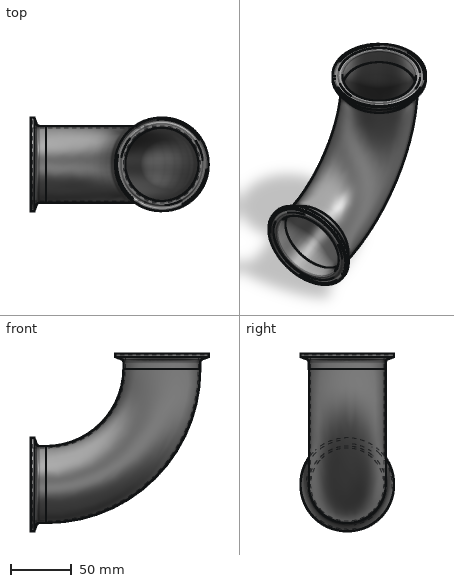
import cadquery as cq
import math

OVERALL_SIZE = 146.6
FLANGE_RADIUS = 77.3 / 2
TUBE_RADIUS = 63.5 / 2
WALL = 1.6
BORE_RADIUS = TUBE_RADIUS - WALL

FERRULE_LENGTH = 12.8
RIM_THICKNESS = 3.0
BACK_SLOPE = math.radians(20)
NECK_FILLET = 2.2
MOUTH_ROUND = 1.0

GROOVE_CENTRE_RADIUS = 35.3
GROOVE_WIDTH = 3.2
GROOVE_DEPTH = 1.3
GROOVE_LIP_ROUND = 0.5

CENTRE_TO_FACE = OVERALL_SIZE - FLANGE_RADIUS
BEND_RADIUS = CENTRE_TO_FACE - FERRULE_LENGTH


def make_ferrule():
    """Ferrule around Z: sealing face at Z = 0, neck pointing to -Z."""
    cone_drop = (FLANGE_RADIUS - TUBE_RADIUS) * math.tan(BACK_SLOPE)
    cone_end = -RIM_THICKNESS - cone_drop
    blank = (
        cq.Workplane("XZ")
        .moveTo(BORE_RADIUS, 0)
        .lineTo(FLANGE_RADIUS, 0)
        .lineTo(FLANGE_RADIUS, -RIM_THICKNESS)
        .lineTo(TUBE_RADIUS, cone_end)
        .lineTo(TUBE_RADIUS, -FERRULE_LENGTH)
        .lineTo(BORE_RADIUS, -FERRULE_LENGTH)
        .close()
        .revolve(360, (0, 0, 0), (0, 1, 0))
    )
    neck_corner = cq.selectors.BoxSelector(
        (-FLANGE_RADIUS, -FLANGE_RADIUS, cone_end - cone_drop / 2),
        (FLANGE_RADIUS, FLANGE_RADIUS, cone_end + cone_drop / 2),
    )
    blank = blank.edges(neck_corner).fillet(NECK_FILLET)
    blank = blank.faces(">Z").edges(cq.selectors.RadiusNthSelector(0)).fillet(MOUTH_ROUND)

    groove = (
        cq.Workplane("XZ")
        .moveTo(GROOVE_CENTRE_RADIUS - GROOVE_WIDTH / 2, 0)
        .threePointArc(
            (GROOVE_CENTRE_RADIUS, -GROOVE_DEPTH),
            (GROOVE_CENTRE_RADIUS + GROOVE_WIDTH / 2, 0),
        )
        .close()
        .revolve(360, (0, 0, 0), (0, 1, 0))
    )
    inner_lip = cq.selectors.RadiusNthSelector(1)
    outer_lip = cq.selectors.RadiusNthSelector(2)
    grooved = blank.cut(groove)
    return grooved.faces(">Z").edges(inner_lip + outer_lip).fillet(GROOVE_LIP_ROUND)


def make_elbow():
    """Quarter-turn pipe from the -X ferrule neck up to the +Z ferrule neck."""
    return (
        cq.Workplane("YZ", origin=(-BEND_RADIUS, 0, 0))
        .circle(TUBE_RADIUS)
        .circle(BORE_RADIUS)
        .revolve(90, (0, BEND_RADIUS, 0), (-1, BEND_RADIUS, 0))
    )


elbow = make_elbow()

ferrules = []
for turn in (0, -90):
    ferrule = make_ferrule().translate((0, 0, CENTRE_TO_FACE))
    ferrules.append(ferrule.rotate((0, 0, 0), (0, 1, 0), turn))

result = cq.Compound.makeCompound([elbow.val(), *[ferrule.val() for ferrule in ferrules]])